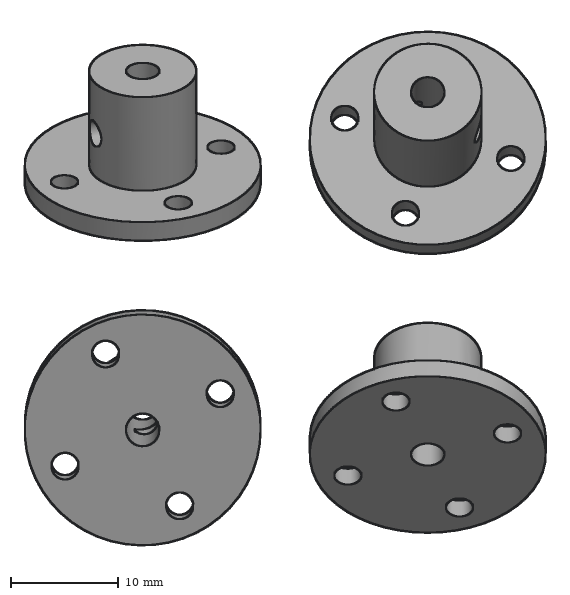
import cadquery as cq

flange_diameter = 22.0
flange_thickness = 2.0

total_height = 12.0
hub_diameter = 10.0
hub_height = total_height - flange_thickness
bore_diameter = 3.1

hole_diameter = 2.53
bolt_hole_count = 4
bolt_circle_radius = 8.0
bolt_pattern_angle = -0.6

cross_hole_height = 6.5


def make_body():
    """Round flange on the XY plane with the hub standing on it."""
    flange = cq.Workplane("XY").circle(flange_diameter / 2).extrude(flange_thickness)
    return flange.faces(">Z").workplane().circle(hub_diameter / 2).extrude(hub_height)


def make_bore():
    return cq.Workplane("XY").circle(bore_diameter / 2).extrude(total_height)


def make_bolt_holes():
    return (
        cq.Workplane("XY")
        .polarArray(bolt_circle_radius, bolt_pattern_angle, 360, bolt_hole_count)
        .circle(hole_diameter / 2)
        .extrude(flange_thickness)
    )


def make_cross_hole():
    """Cylinder along Y, passing through both walls of the hub."""
    return (
        cq.Workplane("XZ")
        .center(0, cross_hole_height)
        .circle(hole_diameter / 2)
        .extrude(hub_diameter / 2, both=True)
    )


result = make_body().cut(make_bore()).cut(make_bolt_holes()).cut(make_cross_hole())